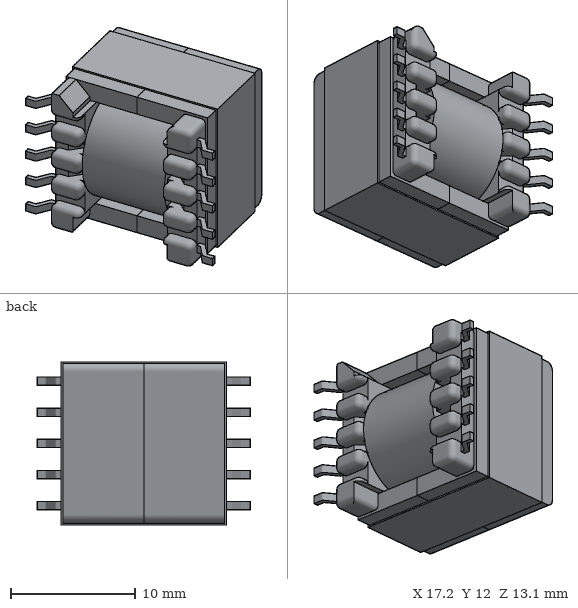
import cadquery as cq
import math


core_length = 13.0
core_height = 12.85
core_depth = 9.0
core_back_radius = 0.67
post_radius = 2.18
axis_y = 2.49
window_radius = 4.82

tape_end_thickness = 0.163
tape_side_thickness = 0.14
tape_front_y = 1.35
tape_width = 6.21

bobbin_radius = 4.75
barrel_wall = 0.5
flange_inner_x = 3.78
flange_thickness = 0.55

rail_depth = 1.77
standoff_reach = 2.81
edge_radius = 0.5
corner_chamfer = 1.27
wire_notch = 1.55

pin_count = 5
pin_span = 10.0
standoff_width = 1.51

pin_width = 0.69
pin_thickness = 0.41
pin_tip_x = 8.58
pin_foot_bend_x = 7.75
pin_slope_degrees = 55
pin_foot_y = -2.97
pin_shoulder_y = -1.61
pin_outer_bend = 0.15
pin_inner_bend = 0.09

rail_outer_x = core_length / 2
rail_inner_x = flange_inner_x + flange_thickness
half_height = core_height / 2
barrel_radius = post_radius + barrel_wall
pin_pitch = pin_span / (pin_count - 1)
pin_rows = [i * pin_pitch - pin_span / 2 for i in range(pin_count)]
end_standoff_z = pin_rows[-1] - standoff_width / 2


def block(x0, x1, y0, y1, z0, z1):
    """Box between two opposite corners."""
    return cq.Workplane("XY").box(x1 - x0, y1 - y0, z1 - z0, centered=False).translate((x0, y0, z0))


def cylinder(radius, x0, x1):
    """Cylinder along X on the winding axis."""
    return cq.Workplane("YZ", origin=(x0, axis_y, 0)).circle(radius).extrude(x1 - x0)


def u_shape(radius, x0, x1, front_y):
    """Round at the back, straight-sided from the axis to front_y."""
    straight = block(x0, x1, front_y, axis_y, -radius, radius)
    round_back = cylinder(radius, x0, x1).intersect(block(x0, x1, axis_y, axis_y + radius, -radius, radius))
    return straight.union(round_back)


def make_core_half():
    """Right half of the core: a shell open at the front, with a round centre post."""
    body = block(0, rail_outer_x, 0, core_depth, -half_height, half_height)
    body = body.edges("|X and >Y").fillet(core_back_radius)
    body = body.cut(u_shape(window_radius, 0, rail_inner_x, 0))
    return body.union(cylinder(post_radius, 0, rail_inner_x))


def make_tape():
    """Closed rectangular band around both core halves."""
    outer_x = rail_outer_x + tape_end_thickness
    outer_z = half_height + tape_side_thickness
    back_y = tape_front_y + tape_width
    band = block(-outer_x, outer_x, tape_front_y, back_y, -outer_z, outer_z)
    return band.cut(block(-rail_outer_x, rail_outer_x, tape_front_y, back_y, -half_height, half_height))


def make_winding():
    """Tube wound on the barrel between the flanges."""
    coil = cylinder(bobbin_radius, -flange_inner_x, flange_inner_x)
    return coil.cut(cylinder(barrel_radius, -flange_inner_x, flange_inner_x))


def make_standoff(z0, z1):
    """Pad on the rail front, rounded on its front and side edges."""
    pad = block(flange_inner_x, rail_outer_x, -standoff_reach, -rail_depth, z0, z1)
    return pad.edges("|Y or <Y").fillet(edge_radius)


def make_envelope(marked):
    """Rounded outer limits of a right-hand rail; marked gives the chamfered pin 1 corner."""
    limits = block(rail_inner_x, rail_outer_x, -standoff_reach, 0, -half_height, half_height)
    if marked:
        limits = limits.edges("|Y and >Z and <X").chamfer(corner_chamfer)
        limits = limits.faces(">X or <Z").edges().fillet(edge_radius)
    else:
        limits = limits.faces(">X or >Z or <Z").edges().fillet(edge_radius)
    step = block(flange_inner_x, rail_inner_x, -standoff_reach, 0, -bobbin_radius, bobbin_radius)
    return limits.union(step)


def make_rail(marked):
    """Right-hand terminal rail with its standoffs and wire notches."""
    rail = block(flange_inner_x, rail_outer_x, -rail_depth, 0, -half_height, half_height)

    notch_profile = (
        cq.Workplane("XY")
        .moveTo(flange_inner_x, -rail_depth)
        .lineTo(flange_inner_x + wire_notch, -rail_depth)
        .lineTo(flange_inner_x, wire_notch - rail_depth)
        .close()
    )
    notch = notch_profile.extrude((pin_pitch - standoff_width) / 2, both=True)
    for z in (-pin_pitch / 2, pin_pitch / 2):
        rail = rail.cut(notch.translate((0, 0, z)))

    for z in pin_rows[1:-1]:
        rail = rail.union(make_standoff(z - standoff_width / 2, z + standoff_width / 2))
    overrun_z = half_height + standoff_width
    rail = rail.union(make_standoff(end_standoff_z, overrun_z))
    rail = rail.union(make_standoff(-overrun_z, -end_standoff_z))
    return rail.intersect(make_envelope(marked))


def make_pin():
    """Right-hand gull-wing pin centred on Z = 0: shoulder, slope and foot."""
    half = pin_thickness / 2
    slope = math.radians(pin_slope_degrees)
    foot_y = pin_foot_y + half
    shoulder_bend_x = pin_foot_bend_x - (pin_shoulder_y - foot_y) / math.tan(slope)
    miter = half * math.tan(slope / 2)
    root_x = rail_outer_x - edge_radius
    profile = cq.Workplane("XY").polyline([
        (root_x, pin_shoulder_y + half),
        (shoulder_bend_x + miter, pin_shoulder_y + half),
        (pin_foot_bend_x + miter, foot_y + half),
        (pin_tip_x, foot_y + half),
        (pin_tip_x, foot_y - half),
        (pin_foot_bend_x - miter, foot_y - half),
        (shoulder_bend_x - miter, pin_shoulder_y - half),
        (root_x, pin_shoulder_y - half),
    ]).close()
    pin = profile.extrude(pin_width / 2, both=True)

    def bend_edge(x, y):
        return cq.selectors.NearestToPointSelector((x, y, 0))

    outer_bends = [(shoulder_bend_x + miter, pin_shoulder_y + half), (pin_foot_bend_x - miter, foot_y - half)]
    inner_bends = [(shoulder_bend_x - miter, pin_shoulder_y - half), (pin_foot_bend_x + miter, foot_y + half)]
    for x, y in outer_bends:
        pin = pin.edges("|Z").edges(bend_edge(x, y)).fillet(pin_outer_bend)
    for x, y in inner_bends:
        pin = pin.edges("|Z").edges(bend_edge(x, y)).fillet(pin_inner_bend)
    return pin


def make_bobbin_end(marked):
    """Right-hand flange with its rail and pins."""
    end = u_shape(bobbin_radius, flange_inner_x, rail_inner_x, 0).union(make_rail(marked))
    for z in pin_rows:
        end = end.union(make_pin().translate((0, 0, z)))
    return end


def make_bobbin():
    """Barrel with both ends, bored for the core post."""
    body = cylinder(barrel_radius, -flange_inner_x, flange_inner_x)
    body = body.union(make_bobbin_end(marked=False))
    body = body.union(make_bobbin_end(marked=True).mirror("YZ"))
    return body.cut(cylinder(post_radius, -rail_inner_x, rail_inner_x))


right_core = make_core_half()
left_core = right_core.mirror("YZ")
tape = make_tape()
winding = make_winding()
bobbin = make_bobbin()

result = cq.Compound.makeCompound([
    right_core.solids().val(),
    left_core.solids().val(),
    tape.solids().val(),
    winding.solids().val(),
    bobbin.solids().val(),
])